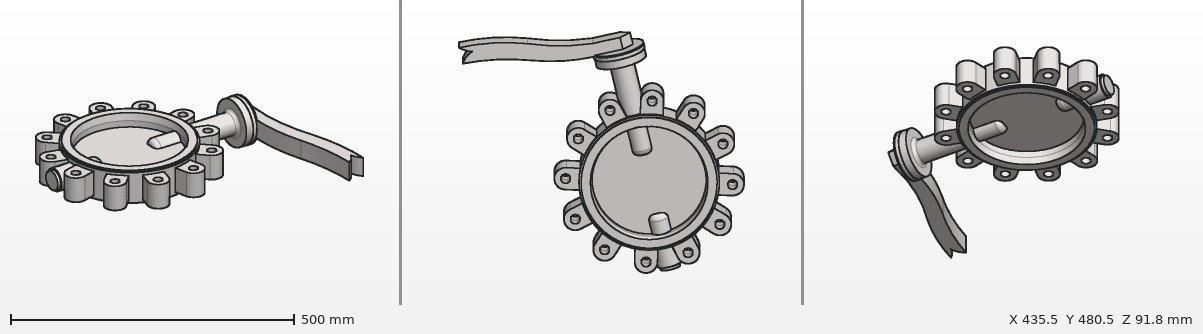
import cadquery as cq
import math

ring_radius = 124.0
ring_half_height = 30.0
face_radius = 120.0
face_half_height = 32.5
bore_radius = 101.0
bore_mouth_radius = 104.0
seat_half_height = 18.5

lug_count = 12
lug_circle_radius = 147.5
lug_radius = 20.0
lug_half_height = 24.0
lug_hole_diameter = 17.0
lug_pitch = 360 / lug_count
first_lug_angle = lug_pitch / 2

neck_radius = 21.5
neck_fillet = 6.5
bottom_boss_end = 161.5
flange_radius = 45.0
flange_bottom = 220.5
flange_top = 235.5
plate_radius = 45.9
plate_top = 243.0

shaft_radius = 18.3
shaft_bottom_end = 167.5
disc_half_thickness = 6.0
upper_hub_end = 45.5
lower_hub_end = 65.0
hub_end_fillet = 10.5

lever_base_top = 245.5
lever_underside = plate_top
lever_top = 267.5
lever_half_width = 18.3
lever_point_x = -27.0
lever_bend_start_x = 42.0
lever_bend_x = 154.0
lever_bend_bottom = 261.5
lever_bend_top = 293.0
lever_tip_x = 273.0
lever_tip_bottom = 282.5
lever_tip_top = 313.0
notch_root = (251.5, 301.0)
notch_lower_mid = (264.0, 293.5)
notch_upper_mid = (263.0, 305.0)
outer_bend_top_mid = (214.0, 308.0)
inner_bend_top_mid = (98.5, 276.5)


def rod_along_y(radius, y_start, y_end):
    """Solid cylinder on the Y axis between two Y positions."""
    return cq.Workplane("XZ", origin=(0, y_start, 0)).circle(radius).extrude(y_start - y_end)


def disc_about_z(radius, half_height):
    """Solid cylinder on the Z axis, centred on the XY plane."""
    return cq.Workplane("XY").circle(radius).extrude(half_height, both=True)


def make_lug(angle):
    """Round-ended radial lug, without its hole."""
    bar = cq.Workplane("XY").center(lug_circle_radius / 2, 0)
    bar = bar.rect(lug_circle_radius, 2 * lug_radius).extrude(lug_half_height, both=True)
    end = cq.Workplane("XY").center(lug_circle_radius, 0)
    end = end.circle(lug_radius).extrude(lug_half_height, both=True)
    return bar.union(end).rotate((0, 0, 0), (0, 0, 1), angle)


def make_lug_holes():
    """Cutters for the through holes of all lugs."""
    centres = cq.Workplane("XY").polarArray(lug_circle_radius, first_lug_angle, 360, lug_count)
    return centres.circle(lug_hole_diameter / 2).extrude(lug_half_height, both=True)


def make_bore():
    """Cutter for the straight seat that widens towards both faces."""
    profile = [
        (0, -face_half_height),
        (bore_mouth_radius, -face_half_height),
        (bore_radius, -seat_half_height),
        (bore_radius, seat_half_height),
        (bore_mouth_radius, face_half_height),
        (0, face_half_height),
    ]
    return cq.Workplane("XZ").polyline(profile).close().revolve(360, (0, 0, 0), (0, 1, 0))


def make_neck():
    """Neck, mounting flange and top plate; a concave fillet blends the neck into the flange."""
    fillet_offset = neck_fillet * (1 - math.sqrt(0.5))
    profile = (
        cq.Workplane("XY")
        .moveTo(0, 0)
        .lineTo(neck_radius, 0)
        .lineTo(neck_radius, flange_bottom - neck_fillet)
        .threePointArc(
            (neck_radius + fillet_offset, flange_bottom - fillet_offset),
            (neck_radius + neck_fillet, flange_bottom),
        )
        .lineTo(flange_radius, flange_bottom)
        .lineTo(flange_radius, flange_top)
        .lineTo(plate_radius, flange_top)
        .lineTo(plate_radius, plate_top)
        .lineTo(0, plate_top)
        .close()
    )
    return profile.revolve(360, (0, 0, 0), (0, 1, 0))


def make_shaft_ends():
    """Upper and lower shaft ends, rounded where they stand on the disc."""
    upper = rod_along_y(shaft_radius, upper_hub_end, ring_radius)
    upper = upper.faces("<Y").edges().fillet(hub_end_fillet)
    lower = rod_along_y(shaft_radius, -shaft_bottom_end, -lower_hub_end)
    lower = lower.faces(">Y").edges().fillet(hub_end_fillet)
    return upper, lower


def make_valve():
    """Lugged ring with neck, flange, bottom boss, closed disc and shaft ends."""
    valve = disc_about_z(ring_radius, ring_half_height)
    valve = valve.union(disc_about_z(face_radius, face_half_height))
    for index in range(lug_count):
        valve = valve.union(make_lug(first_lug_angle + index * lug_pitch))
    valve = valve.union(make_neck())
    valve = valve.union(rod_along_y(neck_radius, -bottom_boss_end, 0))
    valve = valve.cut(make_bore())
    valve = valve.cut(make_lug_holes())
    valve = valve.union(disc_about_z(bore_radius, disc_half_thickness))
    for shaft_end in make_shaft_ends():
        valve = valve.union(shaft_end)
    return valve


def make_arm():
    """S-curved lever arm with a pointed inner end and a notched tip."""
    outline = (
        cq.Workplane("XY")
        .moveTo(lever_point_x, lever_underside)
        .lineTo(lever_bend_start_x, lever_underside)
        .tangentArcPoint((lever_bend_x, lever_bend_bottom), relative=False)
        .tangentArcPoint((lever_tip_x, lever_tip_bottom), relative=False)
        .threePointArc(notch_lower_mid, notch_root)
        .threePointArc(notch_upper_mid, (lever_tip_x, lever_tip_top))
        .threePointArc(outer_bend_top_mid, (lever_bend_x, lever_bend_top))
        .threePointArc(inner_bend_top_mid, (lever_bend_start_x, lever_top))
        .lineTo(lever_point_x, lever_top)
        .close()
    )
    arm = outline.extrude(lever_half_width, both=True)
    shoulder_x = lever_point_x + lever_half_width
    pointed_section = [
        (lever_point_x, 0),
        (shoulder_x, lever_half_width),
        (lever_tip_x, lever_half_width),
        (lever_tip_x, -lever_half_width),
        (shoulder_x, -lever_half_width),
    ]
    pointed_bar = cq.Workplane("XZ").polyline(pointed_section).close().extrude(-lever_tip_top)
    return arm.intersect(pointed_bar)


def make_lever():
    """Hand lever: round base lying on the top plate, with the arm."""
    base = rod_along_y(plate_radius, plate_top, lever_base_top)
    return base.union(make_arm())


valve = make_valve()
lever = make_lever()

result = cq.Compound.makeCompound([valve.solids().val(), lever.solids().val()])